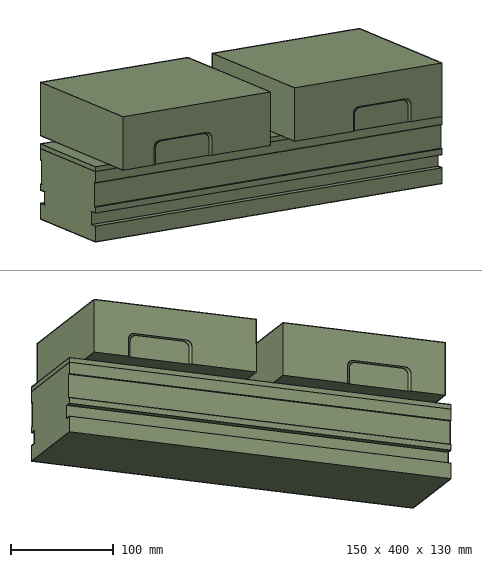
import cadquery as cq

rail_length = 400.0
rail_width = 100.0
rail_height = 71.0
slot_bottom = 16.0
slot_top = 29.0
slot_depth = 7.0
side_recess_bottom = 35.0
side_recess_top = 59.5
side_recess_depth = 2.0

cover_thickness = 5.0
cover_top = rail_height + cover_thickness

total_height = 130.0
block_width = 150.0
block_length = 170.0
block_height = total_height - cover_top
block_gap = 28.0
block_center_y = (block_gap + block_length) / 2

pocket_width = 66.5
pocket_height = 24.0
pocket_corner_radius = 6.5
pocket_depth = 1.5
pocket_side_slope = 2.5
pocket_top_slope = 1.0
pocket_center_y = 115.0


def make_side_groove(side, bottom, top, depth):
    """Full-length cutter for a groove in one side of the rail; side is -1 or 1."""
    return (
        cq.Workplane("XY")
        .box(2 * depth, rail_length, top - bottom)
        .translate((side * rail_width / 2, 0, (bottom + top) / 2))
    )


def make_rail():
    rail = cq.Workplane("XY").box(rail_width, rail_length, rail_height, centered=(True, True, False))
    for side in (-1, 1):
        rail = rail.cut(make_side_groove(side, slot_bottom, slot_top, slot_depth))
        rail = rail.cut(make_side_groove(side, side_recess_bottom, side_recess_top, side_recess_depth))
    return rail


def make_cover():
    return (
        cq.Workplane("XY", origin=(0, 0, rail_height))
        .box(rail_width, rail_length, cover_thickness, centered=(True, True, False))
    )


def pocket_outline(width, height):
    """Rounded rectangle; only its upper half lies within the block."""
    return cq.Sketch().rect(width, 2 * height).vertices().fillet(pocket_corner_radius)


def make_pocket(side, end):
    """Cutter narrowing inward; its lower half hangs below the block to leave the pocket open."""
    mouth_plane = cq.Plane(
        origin=(side * block_width / 2, end * pocket_center_y, cover_top),
        xDir=(0, 1, 0),
        normal=(-side, 0, 0),
    )
    mouth = pocket_outline(pocket_width, pocket_height)
    floor = pocket_outline(pocket_width - 2 * pocket_side_slope, pocket_height - pocket_top_slope)
    floor = floor.moved(cq.Location(cq.Vector(0, 0, pocket_depth)))
    return cq.Workplane(mouth_plane).placeSketch(mouth, floor).loft(ruled=True)


def make_block(end):
    """Block at the -Y end (end = -1) or the +Y end (end = 1)."""
    block = (
        cq.Workplane("XY", origin=(0, end * block_center_y, cover_top))
        .box(block_width, block_length, block_height, centered=(True, True, False))
    )
    for side in (-1, 1):
        block = block.cut(make_pocket(side, end))
    return block


rail = make_rail()
cover = make_cover()
blocks = [make_block(end) for end in (-1, 1)]

result = cq.Compound.makeCompound([rail.val(), cover.val(), *[block.val() for block in blocks]])